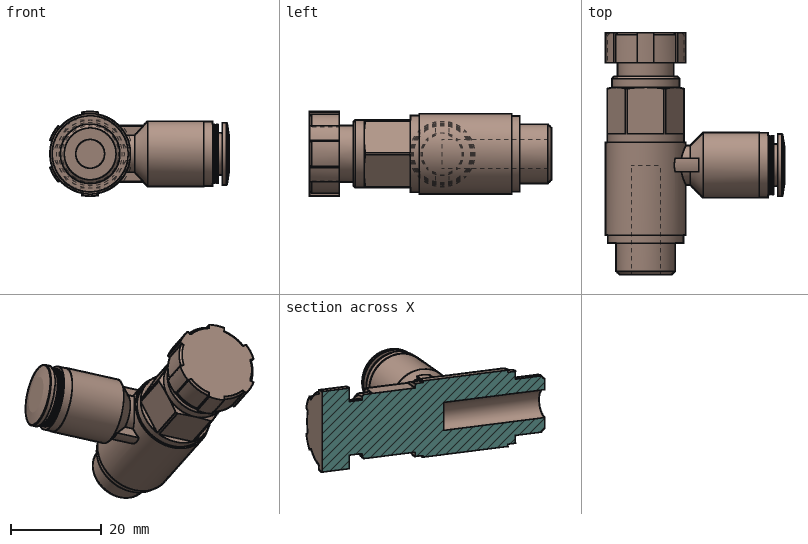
import cadquery as cq
import math


SPIGOT_DIA = 13.15
BORE_DIA = 6.35
LOWER_COLLAR_DIA = 16.8
BODY_DIA = 17.8
UPPER_COLLAR_DIA = 17.0
NUT_COLLAR_DIA = 15
STEM_DIA = 12.5

SPIGOT_END = 7.0
LOWER_COLLAR_END = 8.8
BODY_END = 29.25
UPPER_COLLAR_END = 31.2
HEX_END = 41.4
NUT_COLLAR_END = 43.85
STEM_END = 46.85
KNOB_END = 53.5
SPIGOT_CHAMFER = 0.85
NUT_COLLAR_CHAMFER = 0.5

HEX_ACROSS_FLATS = NUT_COLLAR_DIA
HEX_CORNER_DIA = UPPER_COLLAR_DIA
HEX_BEVEL_HEIGHT = 0.25

KNOB_DIA = BODY_DIA
KNOB_TIP_DIA = 18.8
KNOB_CHAMFER = 0.5
KNOB_RIB_WIDTH = 3.65
KNOB_RIB_COUNT = 6

BRANCH_AXIS_Y = 24.25
BRANCH_NECK_DIA = 8.8
SOCKET_DIA = 14.5
SOCKET_CAP_DIA = 14.35
RETAINER_DIA = 13.1
RETAINER_GROOVE_DIA = 12.6
RETAINER_BEVEL = 0.15
SLEEVE_DIA = 9.4
SLEEVE_ROOT_DIA = 9.25
FLANGE_DIA = 13.8
FLANGE_BEVEL = 0.15
FLANGE_FACE_DIA = 8

CONE_START = 9.85
CONE_END = CONE_START + (SOCKET_DIA - BRANCH_NECK_DIA) / 2
SOCKET_END = 25.15
CAP_END = 27.05
GROOVE_START = 27.55
GROOVE_END = 27.75
RETAINER_END = 28.35
SLEEVE_TAPER_START = 28.85
SLEEVE_END = 29.15
FLANGE_END = 30.3
BRANCH_END = 30.7

WEB_DIA = 12.5
WEB_WIDTH = 3.0
WEB_END = CONE_START + (WEB_DIA - BRANCH_NECK_DIA) / 2


def rod(diameter, start, end):
    """Cylinder on the main axis between two Y stations."""
    return cq.Workplane("XZ", origin=(0, start, 0)).circle(diameter / 2).extrude(start - end)


def make_main_body():
    spigot = rod(SPIGOT_DIA, 0, SPIGOT_END).faces("<Y").chamfer(SPIGOT_CHAMFER)
    nut_collar = rod(NUT_COLLAR_DIA, HEX_END, NUT_COLLAR_END).faces(">Y").chamfer(NUT_COLLAR_CHAMFER)
    return (
        spigot
        .union(rod(LOWER_COLLAR_DIA, SPIGOT_END, LOWER_COLLAR_END))
        .union(rod(BODY_DIA, LOWER_COLLAR_END, BODY_END))
        .union(rod(UPPER_COLLAR_DIA, BODY_END, UPPER_COLLAR_END))
        .union(nut_collar)
        .union(rod(STEM_DIA, NUT_COLLAR_END, STEM_END))
    )


def make_hexagon():
    """Hexagon with corners rounded to a cylinder and bevelled at the knob end."""
    length = HEX_END - UPPER_COLLAR_END
    across_corners = HEX_ACROSS_FLATS / math.cos(math.pi / 6)
    prism = (
        cq.Workplane("XZ", origin=(0, UPPER_COLLAR_END, 0))
        .polygon(6, across_corners)
        .extrude(-length)
    )
    bevel_width = (HEX_CORNER_DIA - HEX_ACROSS_FLATS) / 2
    envelope = (
        rod(HEX_CORNER_DIA, UPPER_COLLAR_END, HEX_END)
        .faces(">Y").edges()
        .chamfer(HEX_BEVEL_HEIGHT, bevel_width)
    )
    return prism.intersect(envelope)


def make_knob():
    """Round knob with raised grip ribs; the first pair points along +Z and -Z."""
    core = rod(KNOB_DIA, STEM_END, KNOB_END).faces(">Y").chamfer(KNOB_CHAMFER)
    length = KNOB_END - STEM_END
    bars = cq.Workplane("XY")
    for index in range(KNOB_RIB_COUNT // 2):
        bar = cq.Workplane("XY").box(KNOB_RIB_WIDTH, length, 2 * KNOB_TIP_DIA)
        bar = bar.translate((0, (STEM_END + KNOB_END) / 2, 0))
        bars = bars.union(bar.rotate((0, 0, 0), (0, 1, 0), index * 360 / KNOB_RIB_COUNT))
    ribs = bars.intersect(rod(KNOB_TIP_DIA, STEM_END, KNOB_END))
    return core.union(ribs)


def make_branch():
    """Branch with push-in socket, grooved retainer and release sleeve, turned about the X direction."""
    profile = [
        (0, 0),
        (0, BRANCH_NECK_DIA),
        (CONE_START, BRANCH_NECK_DIA),
        (CONE_END, SOCKET_DIA),
        (SOCKET_END, SOCKET_DIA),
        (SOCKET_END, SOCKET_CAP_DIA),
        (CAP_END, SOCKET_CAP_DIA),
        (CAP_END, RETAINER_DIA),
        (GROOVE_START - RETAINER_BEVEL, RETAINER_DIA),
        (GROOVE_START, RETAINER_GROOVE_DIA),
        (GROOVE_END, RETAINER_GROOVE_DIA),
        (GROOVE_END + RETAINER_BEVEL, RETAINER_DIA),
        (RETAINER_END - RETAINER_BEVEL, RETAINER_DIA),
        (RETAINER_END, RETAINER_DIA - 2 * RETAINER_BEVEL),
        (RETAINER_END, SLEEVE_DIA),
        (SLEEVE_TAPER_START, SLEEVE_DIA),
        (SLEEVE_END, SLEEVE_ROOT_DIA),
        (SLEEVE_END, FLANGE_DIA),
        (FLANGE_END - FLANGE_BEVEL, FLANGE_DIA),
        (FLANGE_END, FLANGE_DIA - 2 * FLANGE_BEVEL),
        (BRANCH_END, FLANGE_FACE_DIA),
        (BRANCH_END, 0),
    ]
    outline = [(x, diameter / 2) for x, diameter in profile]
    turned = cq.Workplane("XY").polyline(outline).close().revolve(360, (0, 0, 0), (1, 0, 0))
    return turned.translate((0, BRANCH_AXIS_Y, 0))


def make_webs():
    """Upper and lower web, one bar with rounded top and bottom passing through the branch neck."""
    cylinder = cq.Workplane("YZ").circle(WEB_DIA / 2).extrude(WEB_END)
    slab = cq.Workplane("YZ").rect(WEB_WIDTH, 2 * WEB_DIA).extrude(WEB_END)
    return cylinder.intersect(slab).translate((0, BRANCH_AXIS_Y, 0))


bore = rod(BORE_DIA, 0, BRANCH_AXIS_Y)

result = (
    make_main_body()
    .union(make_hexagon())
    .union(make_knob())
    .union(make_branch())
    .union(make_webs())
    .cut(bore)
)